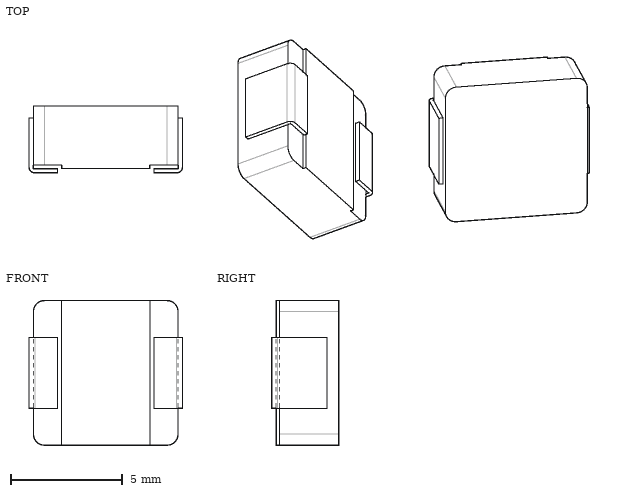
import cadquery as cq

overall_x = 6.86
overall_y = 3.0
body_side = 6.47

body_depth = 2.65
corner_radius = 0.5
pad_width = 3.94

sheet = (overall_x - body_side) / 2
terminal_width = 3.16
foot_length = 1.28
back_setback = 0.535
bend_radius = 0.26

front_y = -overall_y / 2
back_y = overall_y / 2
pad_front_y = front_y + sheet


def make_housing():
    """Rounded square block with a raised band across its front face."""
    block = (
        cq.Workplane("XZ", origin=(0, back_y, 0))
        .rect(body_side, body_side)
        .extrude(body_depth)
        .edges("|Y")
        .fillet(corner_radius)
    )
    band = (
        cq.Workplane("XZ", origin=(0, back_y, 0))
        .rect(pad_width, body_side)
        .extrude(back_y - pad_front_y)
    )
    return block.union(band)


def make_terminal(side):
    """L-shaped strip, rounded outside and square inside; side is -1 for the -X end and +1 for the +X end."""
    outer_x = side * overall_x / 2
    inner_x = side * body_side / 2
    toe_x = outer_x - side * foot_length
    end_y = back_y - back_setback
    strip = (
        cq.Workplane("XY", origin=(0, 0, -terminal_width / 2))
        .moveTo(outer_x, end_y)
        .lineTo(outer_x, front_y)
        .lineTo(toe_x, front_y)
        .lineTo(toe_x, pad_front_y)
        .lineTo(inner_x, pad_front_y)
        .lineTo(inner_x, end_y)
        .close()
        .extrude(terminal_width)
    )
    outer_bend = cq.selectors.NearestToPointSelector((outer_x, front_y, 0))
    return strip.edges("|Z").edges(outer_bend).fillet(bend_radius)


housing = make_housing()
terminals = [make_terminal(side) for side in (-1, 1)]

result = cq.Compound.makeCompound([housing.val(), *[terminal.val() for terminal in terminals]])